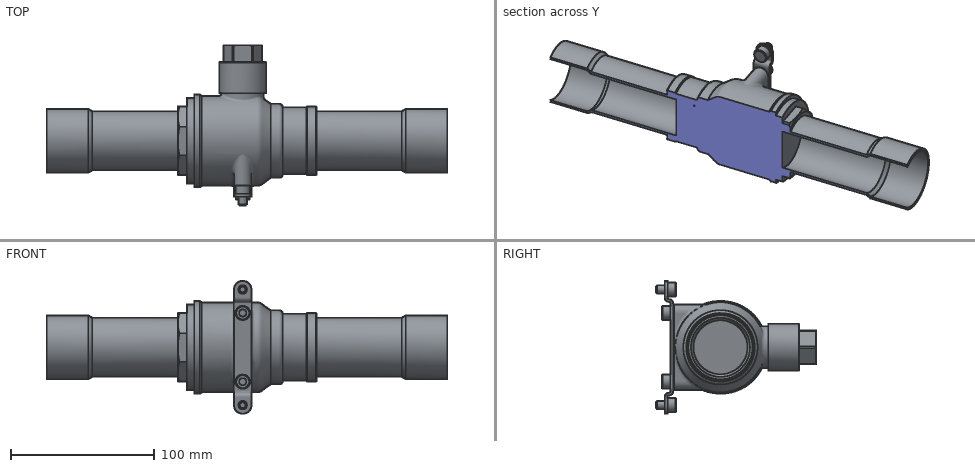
import cadquery as cq
import math


LEFT_END = -137.1
TOTAL_LENGTH = 280.2
RIGHT_END = LEFT_END + TOTAL_LENGTH
PIPE_OD = 41.5
PIPE_ID = 37.7
SOCKET_OD = 44.8
SOCKET_ID = 41.3
SOCKET_LENGTH = 29.0
SWAGE_LENGTH = 3.0

NUT_LEFT = -45.5
NUT_SIDES = 8
NUT_FLATS = 48.0
NUT_CHAMFER_DIAMETER = 47.0
NUT_CHAMFER_SLOPE = 2.0
FLANGE_LEFT = -39.0
FLANGE_DIAMETER = 60.0
RIM_LEFT = -34.0
RIM_RIGHT = -30.0
RIM_DIAMETER = 65.0
BODY_LEFT = -28.5
BODY_DIAMETER = 63.0
BODY_RIGHT = 10.2
CONE_LEFT = 13.2
CONE_LEFT_DIAMETER = 61.0
CONE_RIGHT = 19.5
NECK_DIAMETER = 52.0
NECK_RIGHT = 28.0
SLEEVE_DIAMETER = 47.0
NECK_ROUND = (NECK_DIAMETER - SLEEVE_DIAMETER) / 2
COLLAR_LEFT = 44.5
COLLAR_RIGHT = 51.8
COLLAR_DIAMETER = 48.0
COLLAR_CHAMFER = 0.6

STEM_NECK_DIAMETER = 29.5
STEM_FILLET = 2.0
STEM_FOOT_LOW = 25.0
CAP_BOTTOM = 33.3
CAP_TOP = 55.1
CAP_DIAMETER = 33.0
CAP_CHAMFER = 0.5
HEX_TOP = 66.9
TOTAL_WIDTH = 112.1
HEX_SIDES = 6
HEX_FLATS = 24.0
HEX_TURNED_DIAMETER = 27.0

BOSS_SPACING = 48.0
BOSS_WIDTH = 12.0
BOSS_FILLET = 2.5
BOSS_CHAMFER = 0.8
STRAP_BACK = -33.0
BOSS_END = STRAP_BACK
STRAP_THICKNESS = 2.0
STRAP_WIDTH = 12.4
TAB_OFFSET = 4.0
BEND_START = 30.7
BEND_INNER_RADIUS = (TAB_OFFSET - STRAP_THICKNESS) / 2
BEND_OUTER_RADIUS = BEND_INNER_RADIUS + STRAP_THICKNESS
TAB_SCREW_Z = 40.4
STRAP_END = 46.5

EDGE_MARGIN = 0.1

HEAD_DIAMETER = 10.0
HEAD_HEIGHT = 6.0
HEAD_CHAMFER = 0.5
SOCKET_DIAMETER = 5.0
SOCKET_DEPTH = 3.0
PIN_DIAMETER = 6.0
PIN_END = HEX_TOP - TOTAL_WIDTH
PIN_CHAMFER = 1.0


def cylinder_x(diameter, x_start, x_end):
    return cq.Workplane("YZ", origin=(x_start, 0, 0)).circle(diameter / 2).extrude(x_end - x_start)


def cylinder_y(diameter, y_start, y_end, z=0.0):
    """Cylinder along Y; y_start must be greater than y_end."""
    return cq.Workplane("XZ", origin=(0, y_start, z)).circle(diameter / 2).extrude(y_start - y_end)


def make_housing():
    body_radius = BODY_DIAMETER / 2
    neck_radius = NECK_DIAMETER / 2
    round_mid = NECK_ROUND * math.sqrt(0.5)
    profile = (
        cq.Workplane("XY")
        .moveTo(FLANGE_LEFT, 0)
        .lineTo(FLANGE_LEFT, FLANGE_DIAMETER / 2)
        .lineTo(RIM_LEFT, FLANGE_DIAMETER / 2)
        .lineTo(RIM_LEFT, RIM_DIAMETER / 2)
        .lineTo(RIM_RIGHT, RIM_DIAMETER / 2)
        .lineTo(BODY_LEFT, body_radius)
        .lineTo(BODY_RIGHT, body_radius)
        .tangentArcPoint((CONE_LEFT, CONE_LEFT_DIAMETER / 2), relative=False)
        .lineTo(CONE_RIGHT, neck_radius)
        .lineTo(NECK_RIGHT - NECK_ROUND, neck_radius)
        .threePointArc(
            (NECK_RIGHT - NECK_ROUND + round_mid, neck_radius - NECK_ROUND + round_mid),
            (NECK_RIGHT, neck_radius - NECK_ROUND),
        )
        .lineTo(COLLAR_LEFT, SLEEVE_DIAMETER / 2)
        .lineTo(COLLAR_LEFT, 0)
        .close()
    )
    return profile.revolve(360, (0, 0, 0), (1, 0, 0))


def add_stem_neck(housing):
    """Stem neck standing on the housing, blended into it all round its foot."""
    neck = cylinder_y(STEM_NECK_DIAMETER, (CAP_BOTTOM + CAP_TOP) / 2, 0)
    reach = STEM_NECK_DIAMETER / 2 + EDGE_MARGIN
    foot = cq.selectors.BoxSelector(
        (-reach, STEM_FOOT_LOW, -reach),
        (reach, CAP_BOTTOM, reach),
        boundingbox=True,
    )
    return housing.union(neck).edges(foot).fillet(STEM_FILLET)


def add_boss(housing):
    """Oblong pad carrying the strap, with one rounded end at each strap screw."""
    boss = (
        cq.Workplane("XZ")
        .slot2D(BOSS_SPACING + BOSS_WIDTH, BOSS_WIDTH, 90)
        .extrude(-BOSS_END)
        .faces("<Y")
        .edges()
        .chamfer(BOSS_CHAMFER)
    )
    half_width = BOSS_WIDTH / 2 + EDGE_MARGIN
    half_height = (BOSS_SPACING + BOSS_WIDTH) / 2 + EDGE_MARGIN
    foot = cq.selectors.BoxSelector(
        (-half_width, BOSS_END + BOSS_CHAMFER + EDGE_MARGIN, -half_height),
        (half_width, 0, half_height),
        boundingbox=True,
    )
    return housing.union(boss).edges(foot).edges("not |Y").fillet(BOSS_FILLET)


def make_nut():
    nut_length = FLANGE_LEFT - NUT_LEFT
    corner_diameter = NUT_FLATS / math.cos(math.pi / NUT_SIDES)
    nut = (
        cq.Workplane("YZ", origin=(NUT_LEFT, 0, 0))
        .transformed(rotate=(0, 0, 180 / NUT_SIDES))
        .polygon(NUT_SIDES, corner_diameter)
        .extrude(nut_length)
    )
    outer_radius = NUT_CHAMFER_DIAMETER / 2 + nut_length * NUT_CHAMFER_SLOPE
    cone = (
        cq.Workplane("XY")
        .moveTo(NUT_LEFT, 0)
        .lineTo(NUT_LEFT, NUT_CHAMFER_DIAMETER / 2)
        .lineTo(FLANGE_LEFT, outer_radius)
        .lineTo(FLANGE_LEFT, 0)
        .close()
        .revolve(360, (0, 0, 0), (1, 0, 0))
    )
    return nut.intersect(cone)


def make_collar():
    return cylinder_x(COLLAR_DIAMETER, COLLAR_LEFT, COLLAR_RIGHT).edges().chamfer(COLLAR_CHAMFER)


def make_pipe(end, inner_end, socket_diameter, pipe_diameter):
    """Solid round bar with a widened socket at its free end; serves for both the pipe and its bore."""
    inward = math.copysign(1, inner_end - end)
    socket_end = end + inward * SOCKET_LENGTH
    swage_end = socket_end + inward * SWAGE_LENGTH
    return (
        cq.Workplane("XY")
        .moveTo(end, 0)
        .lineTo(end, socket_diameter / 2)
        .lineTo(socket_end, socket_diameter / 2)
        .lineTo(swage_end, pipe_diameter / 2)
        .lineTo(inner_end, pipe_diameter / 2)
        .lineTo(inner_end, 0)
        .close()
        .revolve(360, (0, 0, 0), (1, 0, 0))
    )


def make_cap():
    cap = cylinder_y(CAP_DIAMETER, CAP_TOP, CAP_BOTTOM).faces(">Y").edges().chamfer(CAP_CHAMFER)
    hexagon = (
        cq.Workplane("XZ", origin=(0, HEX_TOP, 0))
        .polygon(HEX_SIDES, HEX_FLATS / math.cos(math.pi / HEX_SIDES))
        .extrude(HEX_TOP - CAP_TOP)
    )
    turned = cylinder_y(HEX_TURNED_DIAMETER, HEX_TOP, CAP_TOP).faces(">Y").edges().chamfer(CAP_CHAMFER)
    return cap.union(hexagon.intersect(turned))


def make_strap():
    """Flat strap whose two ends step outward through an S-bend into rounded tabs."""
    front = STRAP_BACK - STRAP_THICKNESS
    tab_back = STRAP_BACK - TAB_OFFSET
    tab_front = tab_back - STRAP_THICKNESS
    bend_y = tab_back + BEND_INNER_RADIUS
    half = (
        cq.Workplane("YZ")
        .moveTo(STRAP_BACK, 0)
        .lineTo(STRAP_BACK, BEND_START)
        .tangentArcPoint((bend_y, BEND_START + BEND_OUTER_RADIUS), relative=False)
        .tangentArcPoint((tab_back, BEND_START + TAB_OFFSET), relative=False)
        .lineTo(tab_back, STRAP_END)
        .lineTo(tab_front, STRAP_END)
        .lineTo(tab_front, BEND_START + TAB_OFFSET)
        .tangentArcPoint((bend_y, BEND_START + BEND_INNER_RADIUS), relative=False)
        .tangentArcPoint((front, BEND_START), relative=False)
        .lineTo(front, 0)
        .close()
        .extrude(STRAP_WIDTH / 2, both=True)
    )
    strap = half.union(half.mirror("XY"))
    outline = cq.Workplane("XZ").slot2D(2 * STRAP_END, STRAP_WIDTH, 90).extrude(-tab_front)
    return strap.intersect(outline)


def make_strap_screw(z):
    """Screw head against the outer side of the strap, with a blind socket."""
    seat = STRAP_BACK - STRAP_THICKNESS
    top = seat - HEAD_HEIGHT
    head = cylinder_y(HEAD_DIAMETER, seat, top, z).faces("<Y").edges().chamfer(HEAD_CHAMFER)
    socket = cylinder_y(SOCKET_DIAMETER, top + SOCKET_DEPTH, top, z)
    return head.cut(socket)


def make_tab_screw(z):
    """Screw through a tab, its head on the housing side and its shank pointing to -Y."""
    seat = STRAP_BACK - TAB_OFFSET
    top = seat + HEAD_HEIGHT
    head = cylinder_y(HEAD_DIAMETER, top, seat, z).faces(">Y").edges().chamfer(HEAD_CHAMFER)
    pin = cylinder_y(PIN_DIAMETER, seat, PIN_END, z).faces("<Y").edges().chamfer(PIN_CHAMFER)
    return head.union(pin)


result = add_boss(add_stem_neck(make_housing()))
result = result.union(make_nut()).union(make_collar()).union(make_cap()).union(make_strap())
for side in (-1, 1):
    result = result.union(make_strap_screw(side * BOSS_SPACING / 2))
    result = result.union(make_tab_screw(side * TAB_SCREW_Z))

for end, inner_end in ((LEFT_END, FLANGE_LEFT), (RIGHT_END, COLLAR_LEFT)):
    result = result.union(make_pipe(end, inner_end, SOCKET_OD, PIPE_OD))
    result = result.cut(make_pipe(end, inner_end, SOCKET_ID, PIPE_ID))